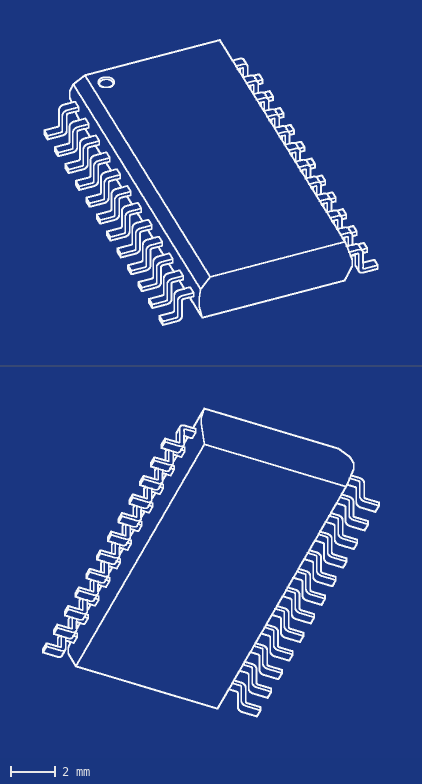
import cadquery as cq
import math

body_length = 15.7
body_width = 7.49
lead_span = 10.5
top_z = 2.5

body_bottom_z = 0.17
belt_bottom_z = 1.16
belt_top_z = 1.55
draft_angle = 15.0

bevel_width = 0.65
bevel_height = 0.47

mark_x = -6.78
mark_y = -2.39
mark_rim_radius = 0.36
mark_floor_radius = 0.31
mark_depth = 0.1

leads_per_side = 12
lead_row_length = 13.97
lead_width = 0.42
lead_thickness = 0.22
shoulder_top_z = 1.45
foot_length = 0.72
inner_bend_radius = 0.06
outer_bend_radius = 0.24
lead_embed = 0.31

lead_pitch = lead_row_length / (leads_per_side - 1)


def drafted_half(belt_z, end_z):
    """Block that narrows from the belt edge to the top or bottom face."""
    height = abs(end_z - belt_z)
    block = (
        cq.Workplane("XY")
        .rect(body_length, body_width)
        .extrude(height, taper=draft_angle)
    )
    if end_z < belt_z:
        block = block.mirror("XY")
    return block.translate((0, 0, belt_z))


def make_body():
    belt = (
        cq.Workplane("XY", origin=(0, 0, belt_bottom_z))
        .rect(body_length, body_width)
        .extrude(belt_top_z - belt_bottom_z)
    )
    return belt.union(drafted_half(belt_top_z, top_z)).union(drafted_half(belt_bottom_z, body_bottom_z))


def make_bevel_cutter():
    """Wedge removed along the top edge on the -Y side."""
    top_edge_y = -body_width / 2 + bevel_width
    low_edge_z = top_z - bevel_height
    low_edge_y = -body_width / 2 + (low_edge_z - belt_top_z) * math.tan(math.radians(draft_angle))
    slope = bevel_height / (top_edge_y - low_edge_y)
    outside_y = -body_width / 2
    outside_z = low_edge_z - slope * (low_edge_y - outside_y)
    return (
        cq.Workplane("YZ")
        .moveTo(top_edge_y, top_z)
        .lineTo(outside_y, top_z)
        .lineTo(outside_y, outside_z)
        .close()
        .extrude(body_length / 2, both=True)
    )


def make_pin_mark():
    return (
        cq.Workplane("XY", origin=(mark_x, mark_y, top_z - mark_depth))
        .circle(mark_floor_radius)
        .workplane(offset=mark_depth)
        .circle(mark_rim_radius)
        .loft()
    )


def make_lead():
    """One lead on the +Y side, centred on X = 0, with rounded bends."""
    root_y = body_width / 2 - lead_embed
    tip_y = lead_span / 2
    leg_outer_y = tip_y - foot_length
    leg_inner_y = leg_outer_y - lead_thickness
    shoulder_bottom_z = shoulder_top_z - lead_thickness

    blank = (
        cq.Workplane("YZ")
        .moveTo(root_y, shoulder_top_z)
        .lineTo(leg_outer_y, shoulder_top_z)
        .lineTo(leg_outer_y, lead_thickness)
        .lineTo(tip_y, lead_thickness)
        .lineTo(tip_y, 0)
        .lineTo(leg_inner_y, 0)
        .lineTo(leg_inner_y, shoulder_bottom_z)
        .lineTo(root_y, shoulder_bottom_z)
        .close()
        .extrude(lead_width / 2, both=True)
    )

    def corner(y, z):
        return cq.selectors.NearestToPointSelector((0, y, z))

    lead = blank.edges(corner(leg_outer_y, shoulder_top_z)).fillet(outer_bend_radius)
    lead = lead.edges(corner(leg_inner_y, 0)).fillet(outer_bend_radius)
    lead = lead.edges(corner(leg_outer_y, lead_thickness)).fillet(inner_bend_radius)
    return lead.edges(corner(leg_inner_y, shoulder_bottom_z)).fillet(inner_bend_radius)


result = make_body().cut(make_bevel_cutter()).cut(make_pin_mark())

back_lead = make_lead()
front_lead = back_lead.mirror("XZ")
for index in range(leads_per_side):
    lead_x = -lead_row_length / 2 + index * lead_pitch
    for lead in (back_lead, front_lead):
        result = result.union(lead.translate((lead_x, 0, 0)))